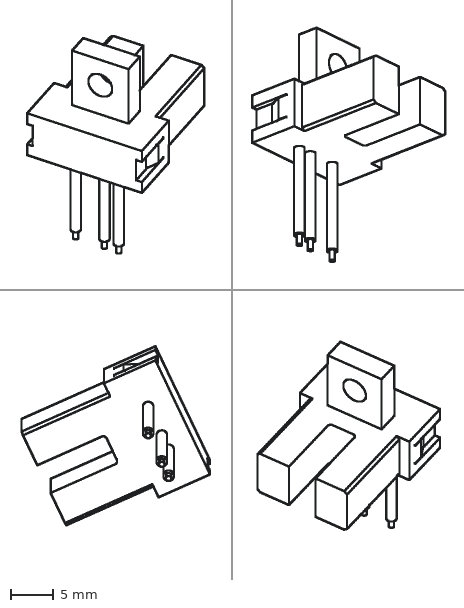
import cadquery as cq

total_height = 27.18
total_depth = 18.15

body_width = 15.5
body_depth = 6.75
body_height = 6.28

arms_width = 12.72
arm_chamfer_x = 0.4
arm_chamfer_z = 0.33
slot_width = 3.75
slot_depth = 8.85
slot_corner_radius = 0.4

tab_width = 7.65
tab_thickness = 2.8
tab_hole_diameter = 3.2
tab_hole_below_top = 3.8

pin_length = 12.75
tab_height = total_height - body_height - pin_length
pin_diameter = 1.28
tip_diameter = 0.65
tip_length = 1.3
pin_y = 3.18
outer_pin_x = 2.9
pin_positions_x = (-outer_pin_x, outer_pin_x / 3, outer_pin_x)

recess_depth = 0.75
recess_length = 5.44
recess_height = 3.02
ramp_start_y = 2.5
ramp_end_y = 4.19
latch_gap = 0.08


def make_arms():
    """Chamfered block behind the body, split by a slot open at the back."""
    arms_length = total_depth - body_depth
    half_width = arms_width / 2
    flat_half_width = half_width - arm_chamfer_x
    upper_edge_z = body_height - arm_chamfer_z
    profile = [
        (-flat_half_width, 0),
        (flat_half_width, 0),
        (half_width, arm_chamfer_z),
        (half_width, upper_edge_z),
        (flat_half_width, body_height),
        (-flat_half_width, body_height),
        (-half_width, upper_edge_z),
        (-half_width, arm_chamfer_z),
    ]
    arms = cq.Workplane("XZ", origin=(0, body_depth, 0)).polyline(profile).close().extrude(-arms_length)
    slot = (
        cq.Workplane("XY")
        .box(slot_width, slot_depth, body_height, centered=(True, False, False))
        .edges("|Z and <Y")
        .fillet(slot_corner_radius)
        .translate((0, total_depth - slot_depth, 0))
    )
    return arms.cut(slot)


def make_tab():
    """Upright plate with a hole running through its thickness."""
    tab = (
        cq.Workplane("XY", origin=(0, body_depth - tab_thickness, body_height))
        .box(tab_width, tab_thickness, tab_height, centered=(True, False, False))
    )
    hole_z = body_height + tab_height - tab_hole_below_top
    hole = (
        cq.Workplane("XZ", origin=(0, body_depth, hole_z))
        .circle(tab_hole_diameter / 2)
        .extrude(tab_thickness)
    )
    return tab.cut(hole)


def make_pin(x):
    """Round pin below the body, stepped down to a thinner tip."""
    shank_length = pin_length - tip_length
    shank = cq.Workplane("XY", origin=(x, pin_y, 0)).circle(pin_diameter / 2).extrude(-shank_length)
    tip = cq.Workplane("XY", origin=(x, pin_y, -shank_length)).circle(tip_diameter / 2).extrude(-tip_length)
    return shank.union(tip)


def make_side_recess():
    """Void in the +X side: an open channel minus the ramped latch."""
    outer_x = body_width / 2
    inner_x = outer_x - recess_depth
    recess_bottom_z = (body_height - recess_height) / 2
    channel = (
        cq.Workplane("XY", origin=(inner_x, 0, recess_bottom_z))
        .box(recess_depth, recess_length, recess_height, centered=False)
    )
    latch_outline = [
        (inner_x, ramp_start_y),
        (outer_x, ramp_end_y),
        (outer_x, recess_length),
        (inner_x, recess_length),
    ]
    latch = (
        cq.Workplane("XY", origin=(0, 0, recess_bottom_z + latch_gap))
        .polyline(latch_outline)
        .close()
        .extrude(recess_height - 2 * latch_gap)
    )
    return channel.cut(latch)


body = cq.Workplane("XY").box(body_width, body_depth, body_height, centered=(True, False, False))
side_recess = make_side_recess()
body = body.cut(side_recess).cut(side_recess.mirror("YZ"))

result = body.union(make_arms()).union(make_tab())
for pin_x in pin_positions_x:
    result = result.union(make_pin(pin_x))